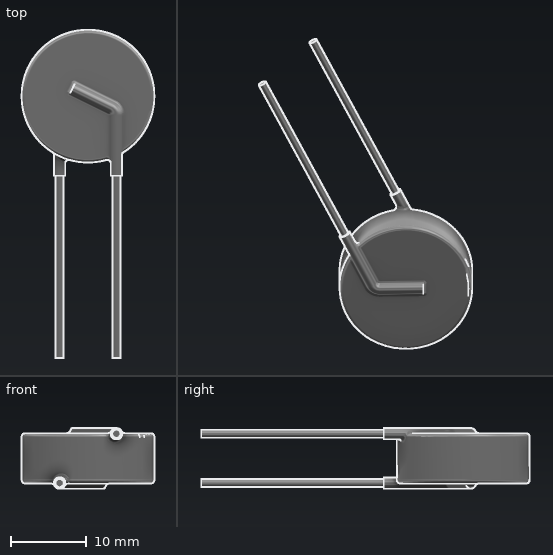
import cadquery as cq
import math

DISC_RADIUS = 8.76
DISC_THICKNESS = 6.65
ROUNDING = 0.5
SLEEVE_DIAMETER = 1.5
OVERALL_HEIGHT = 8.0
WIRE_DIAMETER = 1.1
LEAD_PITCH = 7.5
BEND_RADIUS = 1.15
BEND_START_Y = -2.55
BEND_ANGLE = 64.0
INCLINED_LENGTH = 5.7
SLEEVE_PROJECTION = 1.75
OVERALL_LENGTH = 43.25
TOLERANCE = 0.0005

DISC_FACE_Z = DISC_THICKNESS / 2
SLEEVE_RADIUS = SLEEVE_DIAMETER / 2
LEAD_X = LEAD_PITCH / 2
LEAD_Z = OVERALL_HEIGHT / 2 - SLEEVE_RADIUS
SLEEVE_END_Y = -DISC_RADIUS - SLEEVE_PROJECTION
WIRE_END_Y = DISC_RADIUS - OVERALL_LENGTH


def turned_over(shape):
    """Place an upper-side shape on the lower side, half a turn about Y."""
    return shape.rotate((0, 0, 0), (0, 1, 0), 180)


def polar_offset(start, distance, degrees):
    """Point at a distance from start, in a direction measured from +X."""
    angle = math.radians(degrees)
    return (start[0] + distance * math.cos(angle), start[1] + distance * math.sin(angle))


BEND_CENTER = (LEAD_X - BEND_RADIUS, BEND_START_Y)
BEND_MIDDLE = polar_offset(BEND_CENTER, BEND_RADIUS, BEND_ANGLE / 2)
BEND_END = polar_offset(BEND_CENTER, BEND_RADIUS, BEND_ANGLE)
INCLINE_DIRECTION = BEND_ANGLE + 90
SLEEVE_TIP = polar_offset(BEND_END, INCLINED_LENGTH, INCLINE_DIRECTION)


def make_upper_sleeve():
    """Round sleeve: straight, then bent, then inclined across the disc face."""
    path = (
        cq.Workplane("XY", origin=(0, 0, LEAD_Z))
        .moveTo(LEAD_X, SLEEVE_END_Y)
        .lineTo(LEAD_X, BEND_START_Y)
        .threePointArc(BEND_MIDDLE, BEND_END)
        .lineTo(*SLEEVE_TIP)
    )
    return (
        cq.Workplane("XZ", origin=(LEAD_X, SLEEVE_END_Y, LEAD_Z))
        .circle(SLEEVE_RADIUS)
        .sweep(path)
    )


def make_upper_tip_fillet():
    """Fillet in front of the sleeve tip, rounded at both corners into the side fillets."""
    arc_center_height = DISC_FACE_Z + ROUNDING - LEAD_Z
    arc_center_offset = math.sqrt((SLEEVE_RADIUS + ROUNDING) ** 2 - arc_center_height ** 2)
    corner_axis_offset = arc_center_offset - ROUNDING
    side_contact_offset = arc_center_offset * SLEEVE_RADIUS / (SLEEVE_RADIUS + ROUNDING)

    arc_middle = ROUNDING * (1 - math.sqrt(0.5))
    profile = (
        cq.Sketch()
        .segment((0, 0), (ROUNDING, 0))
        .arc((ROUNDING, 0), (arc_middle, arc_middle), (0, ROUNDING))
        .close()
        .assemble()
    )
    straight = cq.Workplane("XZ").placeSketch(profile).extrude(corner_axis_offset, both=True)
    corner = (
        cq.Workplane("XZ")
        .placeSketch(profile)
        .revolve(90, (0, 0, 0), (0, 1, 0))
        .translate((0, corner_axis_offset, 0))
    )
    fillet = straight.union(corner).union(corner.mirror("XZ"))

    sleeve_outline = (
        cq.Workplane("YZ", origin=(0, 0, LEAD_Z - DISC_FACE_Z))
        .circle(SLEEVE_RADIUS)
        .extrude(ROUNDING)
    )
    beside_sleeve = (
        cq.Workplane("XY", origin=(0, side_contact_offset, 0))
        .box(ROUNDING, 2 * ROUNDING, ROUNDING, centered=False)
    )
    allowed = sleeve_outline.union(beside_sleeve).union(beside_sleeve.mirror("XZ"))
    return (
        fillet.intersect(allowed)
        .rotate((0, 0, 0), (0, 0, 1), INCLINE_DIRECTION)
        .translate((*SLEEVE_TIP, DISC_FACE_Z))
    )


def make_disc():
    """Plain disc centred on the origin, with both rims rounded."""
    return (
        cq.Workplane("XY", origin=(0, 0, -DISC_FACE_Z))
        .circle(DISC_RADIUS)
        .extrude(DISC_THICKNESS)
        .edges("%CIRCLE")
        .fillet(ROUNDING)
    )


def is_sleeve_side_edge(edge):
    """True for the long straight edges where a sleeve meets a flat disc face."""
    on_disc_face = abs(abs(edge.Center().z) - DISC_FACE_Z) < TOLERANCE
    longer_than_tip_edge = edge.Length() > SLEEVE_DIAMETER
    return edge.geomType() == "LINE" and on_disc_face and longer_than_tip_edge


def make_coating():
    """Coated disc in one piece with the two sleeves that run out of it."""
    sleeve = make_upper_sleeve()
    sharp = make_disc().union(sleeve).union(turned_over(sleeve))
    blended = sharp.edges().filter(is_sleeve_side_edge).fillet(ROUNDING)
    tip_fillet = make_upper_tip_fillet()
    return blended.union(tip_fillet).union(turned_over(tip_fillet)).solids()


def make_upper_wire():
    """Bare wire that continues the upper sleeve from its end face."""
    return (
        cq.Workplane("XZ", origin=(LEAD_X, SLEEVE_END_Y, LEAD_Z))
        .circle(WIRE_DIAMETER / 2)
        .extrude(SLEEVE_END_Y - WIRE_END_Y)
    )


coating = make_coating()
upper_wire = make_upper_wire()
wires = [upper_wire, turned_over(upper_wire)]

result = cq.Compound.makeCompound([coating.val(), *[wire.val() for wire in wires]])